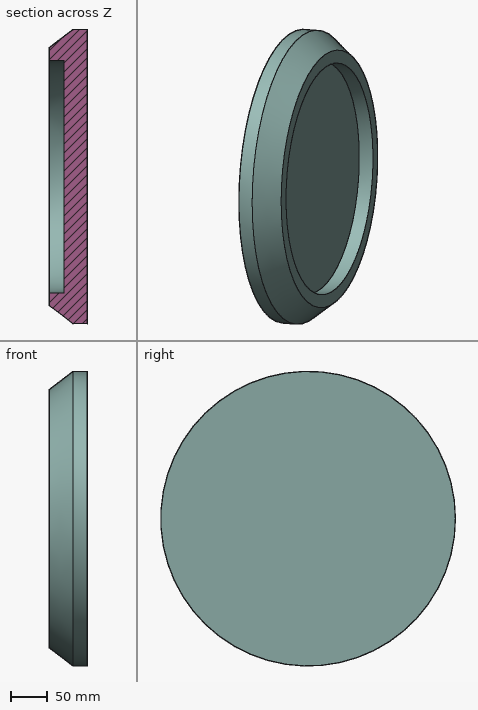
import cadquery as cq

outer_diameter = 400.0
face_diameter = 350.5
recess_diameter = 315.0
thickness = 52.0
rim_width = 19.5
recess_depth = 20.0

outer_radius = outer_diameter / 2
face_radius = face_diameter / 2
recess_radius = recess_diameter / 2

half_section = [
    (recess_depth, 0),
    (recess_depth, recess_radius),
    (0, recess_radius),
    (0, face_radius),
    (thickness - rim_width, outer_radius),
    (thickness, outer_radius),
    (thickness, 0),
]

result = cq.Workplane("XY").polyline(half_section).close().revolve(360, (0, 0, 0), (1, 0, 0))